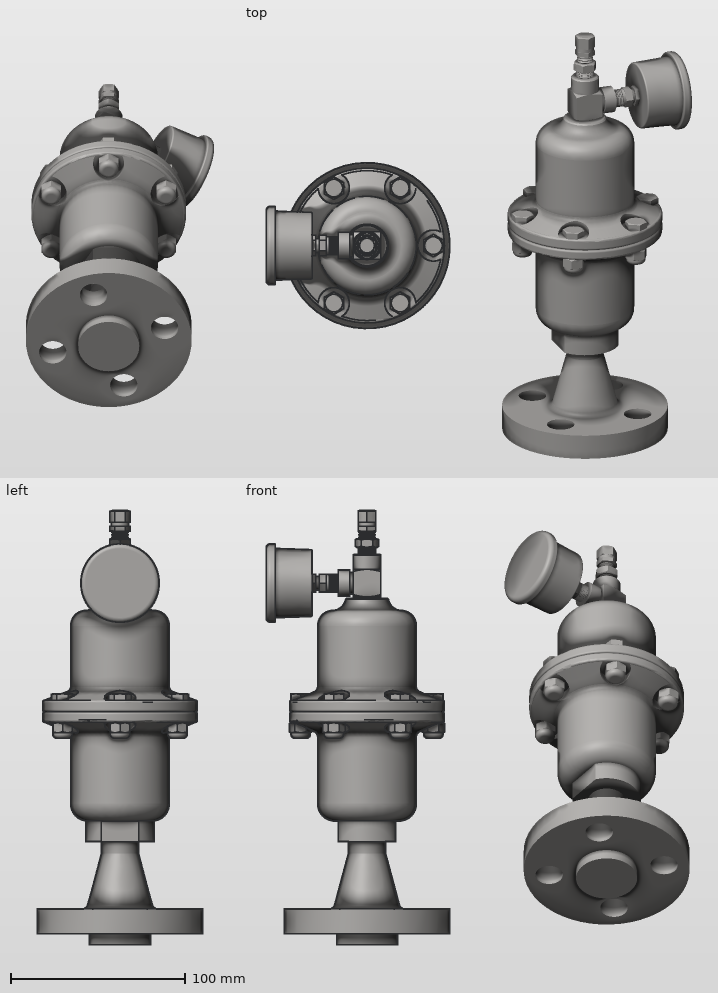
import math

import cadquery as cq


FLANGE_DIA = 95.25
FLANGE_THICKNESS = 14.25
RAISED_FACE_DIA = 35.05
RAISED_FACE_HEIGHT = 6.35
FLANGE_HOLE_DIA = 15.8
FLANGE_HOLE_CIRCLE = 66.5
FLANGE_HOLE_COUNT = 4
FLANGE_HOLE_START_ANGLE = 45
HUB_BASE_DIA = 38.4
HUB_FILLET = 3.2
PIPE_DIA = 21.34
Z_FLANGE_TOP = RAISED_FACE_HEIGHT + FLANGE_THICKNESS
Z_PIPE_START = 52.5

COLLAR_DIA = 39.4
COLLAR_FLATS = 33.0
Z_COLLAR_BOTTOM = 59.2

VESSEL_DIA = 56.64
Z_VESSEL_BOTTOM = 71.0
VESSEL_BOTTOM_FILLET = 10.1
Z_SHOULDER = 192.0
SHOULDER_FILLET = 8.9
CROWN_RADIUS = VESSEL_DIA / 2 - SHOULDER_FILLET
BOSS_DIA = 24.6
BOSS_CHAMFER = 0.75
Z_BOSS_TOP = 199.0
CROWN_HOLLOW_RADIUS = 7.6

RIM_DIA = 88.9
RIM_FILLET = 1.4
Z_JOINT = 133.7
UPPER_RIM_THICKNESS = 6.8
LOWER_RIM_THICKNESS = 6.0
UPPER_CONE_HEIGHT = 5.6
LOWER_CONE_HEIGHT = 6.3
RIM_CONE_FILLET = 2.8

BOLT_COUNT = 6
BOLT_CIRCLE = 76.2
BOLT_HEX_FLATS = 11.18
BOLT_FACE_DIA = 10.2
BOLT_HEAD_HEIGHT = 3.7
SPOTFACE_DIA = 17.8
NUT_HEIGHT = 6.2
NUT_DOME_HEIGHT = 3.0
NUT_DOME_FILLET = 2.5

TEE_SIZE = 15.8
TEE_BEVEL_ANGLE = 20
Z_GAUGE_AXIS = 207.65
Z_TEE_BOTTOM = Z_GAUGE_AXIS - TEE_SIZE / 2
Z_TEE_TOP = Z_GAUGE_AXIS + TEE_SIZE / 2
PIPE_THREAD_DIA = 10.29
PIPE_THREAD_ROOT = 9.0
PIPE_THREAD_PITCH = 0.94

VALVE_COLLAR_DIA = 16.0
VALVE_COLLAR_CHAMFER = 0.7
VALVE_COLLAR_HEIGHT = 8.7
VALVE_NUT_FLATS = 11.9
VALVE_NUT_FACE_DIA = 11.0
VALVE_THREAD_DIA = 9.35
VALVE_THREAD_ROOT = 7.62
VALVE_THREAD_PITCH = 1.41
Z_VALVE_NUT = 228.0
Z_VALVE_THREAD = 233.2
Z_CAP = 237.5
CAP_FLATS = 10.29
CAP_FACE_DIA = 8.5
Z_CAP_GROOVE = 240.3
CAP_GROOVE_WIDTH = 2.2
Z_TOP = 249.37

GAUGE_FACE = 57.945
BEZEL_DIA = 45.09
BEZEL_DEPTH = 5.4
BEZEL_FILLET = 2.6
BEZEL_BACK_FILLET = 0.8
GAUGE_BODY_FRONT_DIA = 39.9
GAUGE_BODY_BACK_DIA = 38.4
GAUGE_BACK = 31.5
GAUGE_BACK_FILLET = 0.9

TEE_RING_DIA = 12.7
TEE_RING_END = 9.8
STEM_COLLAR_DIA = 15.24
STEM_COLLAR_END = 16.5
STEM_THREAD_END = 21.8
STEM_RING_END = 23.3
STEM_HEX_FLATS = 10.29
STEM_HEX_END = 27.5
STEM_NECK_DIA = 8.0
STEM_NECK_END = 29.3

OVERLAP = 0.5
NUT_BEVEL_ANGLE = 30
HEAD_BEVEL_ANGLE = 20
HEX_CORNER_RATIO = 1 / math.cos(math.radians(30))


def cylinder(dia, z0, z1):
    return cq.Workplane("XY").workplane(offset=z0).circle(dia / 2).extrude(z1 - z0)


def hexagon(flats, z0, z1, corner_angle=90):
    """Hexagonal prism with one corner pointing at corner_angle from +X."""
    prism = cq.Workplane("XY").polygon(6, flats * HEX_CORNER_RATIO).extrude(z1 - z0)
    return prism.rotate((0, 0, 0), (0, 0, 1), corner_angle).translate((0, 0, z0))


def bevel_cone(face_dia, angle, z0, z1, bottom=True):
    """Cone-ended blank that bevels prism corners at the top end and, if asked, the bottom end."""
    face_radius = face_dia / 2
    outer_radius = 2 * face_radius
    drop = (outer_radius - face_radius) * math.tan(math.radians(angle))
    profile = cq.Workplane("XZ").moveTo(0, z0)
    if bottom:
        profile = profile.lineTo(face_radius, z0).lineTo(outer_radius, z0 + drop)
    else:
        profile = profile.lineTo(outer_radius, z0)
    profile = profile.lineTo(outer_radius, z1 - drop).lineTo(face_radius, z1).lineTo(0, z1)
    return profile.close().revolve(360, (0, 0, 0), (0, 1, 0))


def bevelled_nut(flats, face_dia, z0, z1):
    """Hexagonal nut with corners along X, bevelled at both ends."""
    return hexagon(flats, z0, z1, 0).intersect(bevel_cone(face_dia, NUT_BEVEL_ANGLE, z0, z1))


def bevelled_head(flats, face_dia, z0, z1):
    """Hexagonal head with corners along Y, bevelled at the top end."""
    cone = bevel_cone(face_dia, HEAD_BEVEL_ANGLE, z0, z1, bottom=False)
    return hexagon(flats, z0, z1).intersect(cone)


def thread(major, root, pitch, z0, z1):
    """Thread modelled as a stack of V-shaped ridges."""
    turns = round((z1 - z0) / pitch)
    step = (z1 - z0) / turns
    profile = cq.Workplane("XZ").moveTo(0, z0).lineTo(root / 2, z0)
    for turn in range(turns):
        profile = profile.lineTo(major / 2, z0 + (turn + 0.5) * step)
        profile = profile.lineTo(root / 2, z0 + (turn + 1) * step)
    return profile.lineTo(0, z1).close().revolve(360, (0, 0, 0), (0, 1, 0))


def round_edge(body, radius, z, fillet):
    """Fillet the circular edge of the given radius at height z."""

    def is_target(edge):
        if edge.geomType() != "CIRCLE":
            return False
        return math.isclose(edge.radius(), radius, abs_tol=0.01) and math.isclose(
            edge.Center().z, z, abs_tol=0.01
        )

    return body.newObject([e for e in body.edges().vals() if is_target(e)]).fillet(fillet)


def facing_minus_x(body):
    """Turn a body built along +Z so that it runs along -X from the tee."""
    return body.rotate((0, 0, 0), (0, 1, 0), -90).translate((0, 0, Z_GAUGE_AXIS))


def make_pipe_flange():
    body = (
        cq.Workplane("XZ")
        .moveTo(0, 0)
        .lineTo(RAISED_FACE_DIA / 2, 0)
        .lineTo(RAISED_FACE_DIA / 2, RAISED_FACE_HEIGHT)
        .lineTo(FLANGE_DIA / 2, RAISED_FACE_HEIGHT)
        .lineTo(FLANGE_DIA / 2, Z_FLANGE_TOP)
        .lineTo(HUB_BASE_DIA / 2, Z_FLANGE_TOP)
        .lineTo(PIPE_DIA / 2, Z_PIPE_START)
        .lineTo(PIPE_DIA / 2, Z_COLLAR_BOTTOM + OVERLAP)
        .lineTo(0, Z_COLLAR_BOTTOM + OVERLAP)
        .close()
        .revolve(360, (0, 0, 0), (0, 1, 0))
    )
    body = round_edge(body, HUB_BASE_DIA / 2, Z_FLANGE_TOP, HUB_FILLET)
    holes = (
        cq.Workplane("XY")
        .polarArray(FLANGE_HOLE_CIRCLE / 2, FLANGE_HOLE_START_ANGLE, 360, FLANGE_HOLE_COUNT)
        .circle(FLANGE_HOLE_DIA / 2)
        .extrude(Z_FLANGE_TOP)
    )
    return body.cut(holes)


def make_collar():
    top = Z_VESSEL_BOTTOM + OVERLAP
    height = top - Z_COLLAR_BOTTOM
    flats = cq.Workplane("XY").box(COLLAR_FLATS, COLLAR_DIA, height, centered=(True, True, False))
    return cylinder(COLLAR_DIA, Z_COLLAR_BOTTOM, top).intersect(flats.translate((0, 0, Z_COLLAR_BOTTOM)))


def make_rim(thickness, cone_height):
    """One clamping flange rising from the joint at Z = 0, with the cone that leads to the vessel wall."""
    rim = cylinder(RIM_DIA, 0, thickness).edges().fillet(RIM_FILLET)
    cone_top = thickness + cone_height
    wall_top = cone_top + 2 * RIM_CONE_FILLET
    cone = (
        cq.Workplane("XZ")
        .moveTo(0, thickness - OVERLAP)
        .lineTo(RIM_DIA / 2 - RIM_FILLET, thickness - OVERLAP)
        .lineTo(RIM_DIA / 2 - RIM_FILLET, thickness)
        .lineTo(VESSEL_DIA / 2, cone_top)
        .lineTo(VESSEL_DIA / 2, wall_top)
        .lineTo(0, wall_top)
        .close()
        .revolve(360, (0, 0, 0), (0, 1, 0))
    )
    cone = round_edge(cone, VESSEL_DIA / 2, cone_top, RIM_CONE_FILLET)
    spotfaces = (
        cq.Workplane("XY")
        .workplane(offset=thickness)
        .polarArray(BOLT_CIRCLE / 2, 0, 360, BOLT_COUNT)
        .circle(SPOTFACE_DIA / 2)
        .extrude(cone_top)
    )
    wall = cylinder(VESSEL_DIA, 0, wall_top)
    return rim.union(cone.cut(spotfaces)).union(wall)


def make_vessel():
    boss_radius = BOSS_DIA / 2
    boss_base = Z_BOSS_TOP - BOSS_CHAMFER
    body = (
        cq.Workplane("XZ")
        .moveTo(0, Z_VESSEL_BOTTOM)
        .lineTo(VESSEL_DIA / 2, Z_VESSEL_BOTTOM)
        .lineTo(VESSEL_DIA / 2, Z_SHOULDER - SHOULDER_FILLET)
        .radiusArc((CROWN_RADIUS, Z_SHOULDER), -SHOULDER_FILLET)
        .radiusArc((boss_radius, boss_base), CROWN_HOLLOW_RADIUS)
        .lineTo(boss_radius - BOSS_CHAMFER, Z_BOSS_TOP)
        .lineTo(0, Z_BOSS_TOP)
        .close()
        .revolve(360, (0, 0, 0), (0, 1, 0))
    )
    body = round_edge(body, VESSEL_DIA / 2, Z_VESSEL_BOTTOM, VESSEL_BOTTOM_FILLET)
    upper = make_rim(UPPER_RIM_THICKNESS, UPPER_CONE_HEIGHT)
    lower = make_rim(LOWER_RIM_THICKNESS, LOWER_CONE_HEIGHT).mirror("XY")
    return body.union(upper.translate((0, 0, Z_JOINT))).union(lower.translate((0, 0, Z_JOINT)))


def make_bolts():
    head_bottom = Z_JOINT + UPPER_RIM_THICKNESS
    nut_top = Z_JOINT - LOWER_RIM_THICKNESS
    nut_bottom = nut_top - NUT_HEIGHT
    head_top = head_bottom + BOLT_HEAD_HEIGHT
    head = bevelled_head(BOLT_HEX_FLATS, BOLT_FACE_DIA, head_bottom - OVERLAP, head_top)
    nut = bevelled_nut(BOLT_HEX_FLATS, BOLT_FACE_DIA, nut_bottom, nut_top)
    dome = cylinder(BOLT_HEX_FLATS, nut_bottom - NUT_DOME_HEIGHT, nut_bottom + OVERLAP)
    dome = dome.faces("<Z").edges().fillet(NUT_DOME_FILLET)
    fastener = head.union(nut).union(dome)
    bolts = cq.Workplane("XY")
    for index in range(BOLT_COUNT):
        angle = 2 * math.pi * index / BOLT_COUNT
        x = BOLT_CIRCLE / 2 * math.cos(angle)
        y = BOLT_CIRCLE / 2 * math.sin(angle)
        bolts = bolts.add(fastener.translate((x, y, 0)))
    return bolts


def make_tee():
    block = cq.Workplane("XY").box(TEE_SIZE, TEE_SIZE, TEE_SIZE)
    block = block.intersect(bevel_cone(TEE_SIZE, TEE_BEVEL_ANGLE, -TEE_SIZE / 2, TEE_SIZE / 2))
    neck = cylinder(PIPE_THREAD_DIA, Z_BOSS_TOP - OVERLAP, Z_TEE_BOTTOM + OVERLAP)
    return block.translate((0, 0, Z_GAUGE_AXIS)).union(neck)


def make_valve():
    collar_top = Z_TEE_TOP + VALVE_COLLAR_HEIGHT
    collar = cylinder(VALVE_COLLAR_DIA, Z_TEE_TOP, collar_top)
    collar = collar.faces(">Z").edges().chamfer(VALVE_COLLAR_CHAMFER)
    groove_top = Z_CAP_GROOVE + CAP_GROOVE_WIDTH
    return (
        collar.union(thread(PIPE_THREAD_DIA, PIPE_THREAD_ROOT, PIPE_THREAD_PITCH, collar_top, Z_VALVE_NUT))
        .union(bevelled_nut(VALVE_NUT_FLATS, VALVE_NUT_FACE_DIA, Z_VALVE_NUT, Z_VALVE_THREAD))
        .union(thread(VALVE_THREAD_DIA, VALVE_THREAD_ROOT, VALVE_THREAD_PITCH, Z_VALVE_THREAD, Z_CAP))
        .union(hexagon(CAP_FLATS, Z_CAP, Z_CAP_GROOVE))
        .union(cylinder(CAP_FLATS, Z_CAP_GROOVE, groove_top))
        .union(bevelled_head(CAP_FLATS, CAP_FACE_DIA, groove_top, Z_TOP))
    )


def make_stem():
    stem = (
        cylinder(TEE_RING_DIA, TEE_SIZE / 2 - OVERLAP, TEE_RING_END)
        .union(cylinder(STEM_COLLAR_DIA, TEE_RING_END, STEM_COLLAR_END))
        .union(thread(PIPE_THREAD_DIA, PIPE_THREAD_ROOT, PIPE_THREAD_PITCH, STEM_COLLAR_END, STEM_THREAD_END))
        .union(cylinder(STEM_HEX_FLATS, STEM_THREAD_END, STEM_RING_END))
        .union(hexagon(STEM_HEX_FLATS, STEM_RING_END, STEM_HEX_END))
        .union(cylinder(STEM_NECK_DIA, STEM_HEX_END, STEM_NECK_END))
        .union(hexagon(STEM_HEX_FLATS, STEM_NECK_END, GAUGE_BACK + OVERLAP))
    )
    return facing_minus_x(stem)


def make_gauge():
    bezel_back = GAUGE_FACE - BEZEL_DEPTH
    body = (
        cq.Workplane("XY")
        .workplane(offset=GAUGE_BACK)
        .circle(GAUGE_BODY_BACK_DIA / 2)
        .workplane(offset=bezel_back - GAUGE_BACK)
        .circle(GAUGE_BODY_FRONT_DIA / 2)
        .loft()
        .faces("<Z")
        .edges()
        .fillet(GAUGE_BACK_FILLET)
    )
    bezel = cylinder(BEZEL_DIA, bezel_back, GAUGE_FACE).faces(">Z").edges().fillet(BEZEL_FILLET)
    bezel = bezel.faces("<Z").edges().fillet(BEZEL_BACK_FILLET)
    return facing_minus_x(body.union(bezel))


result = make_pipe_flange().union(make_collar()).union(make_vessel())
for bolt in make_bolts().vals():
    result = result.union(cq.Workplane(bolt))
result = result.union(make_tee()).union(make_valve()).union(make_stem()).union(make_gauge())